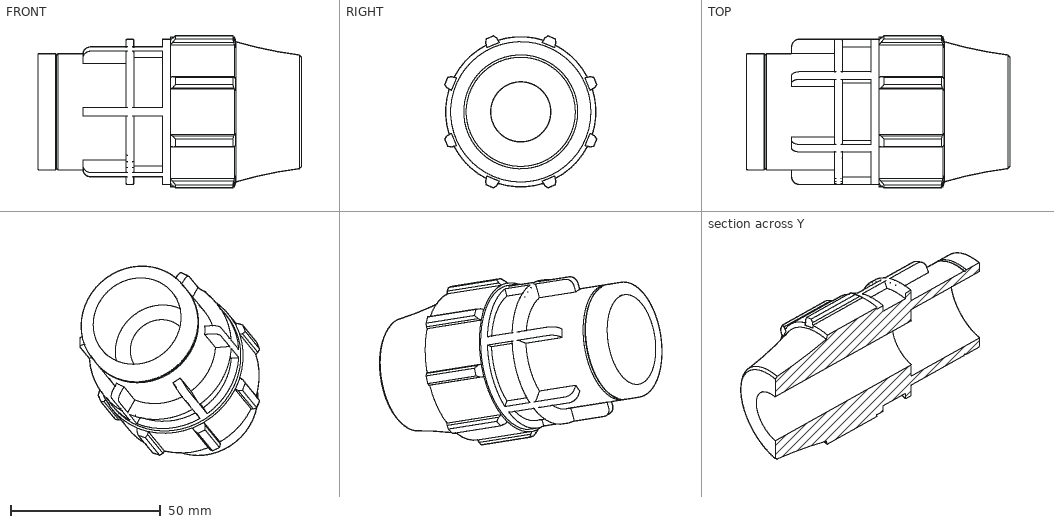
import cadquery as cq
import math


total_length = 88.0

barrel_radius = 38.9 / 2
mouth_fillet = 0.5
groove_start = 5.8
groove_width = 1.0
groove_depth = 0.4

ring_start = 29.4
ring_end = 32.0
ring_radius = 48.6 / 2
ring_fillet = 0.5
collar_radius = 21.7
flange_start = 41.5

nut_start = 44.2
nut_end = 66.1
nut_radius = 25.1
nose_start_radius = 23.4
nose_middle_radius = 20.8
nose_end_radius = 19.0
nose_chamfer = 0.8
shoulder_slope = 0.3

bore_radius = 20.0 / 2
socket_radius = 30.3 / 2
socket_depth = ring_start

body_rib_count = 6
body_rib_start = 15.05
body_rib_width = 2.9
body_rib_round = 2.7
pocket_overshoot = 0.9

grip_rib_count = 8
grip_rib_top_radius = 26.9
grip_rib_top_width = 2.6
grip_rib_bevel_radius = 25.9
grip_rib_bevel_width = 4.05
grip_rib_root_radius = 24.1
grip_rib_root_width = 4.5
grip_rib_slope_length = 1.8


def repeat_around_x(shape, count, first_angle):
    """Fuse evenly spaced copies of a shape that points along +Y."""
    copies = cq.Workplane("XY")
    for index in range(count):
        angle = first_angle + index * 360 / count
        copies = copies.add(shape.rotate((0, 0, 0), (1, 0, 0), angle))
    return copies.combine()


def make_body():
    """Turned outer shape, still solid between the body ribs."""
    groove_end = groove_start + groove_width
    shoulder_start = nut_end - shoulder_slope * (nut_radius - nose_start_radius)
    nose_end = total_length - nose_chamfer
    nose_middle = (nut_end + nose_end) / 2
    body = (
        cq.Workplane("XY")
        .moveTo(0, 0)
        .lineTo(0, barrel_radius)
        .lineTo(groove_start, barrel_radius)
        .lineTo(groove_start + groove_width / 2, barrel_radius - groove_depth)
        .lineTo(groove_end, barrel_radius)
        .lineTo(body_rib_start, barrel_radius)
        .lineTo(body_rib_start, ring_radius - body_rib_round)
        .radiusArc((body_rib_start + body_rib_round, ring_radius), body_rib_round)
        .lineTo(nut_start, ring_radius)
        .lineTo(nut_start, nut_radius)
        .lineTo(shoulder_start, nut_radius)
        .lineTo(nut_end, nose_start_radius)
        .threePointArc((nose_middle, nose_middle_radius), (nose_end, nose_end_radius))
        .lineTo(total_length, nose_end_radius - nose_chamfer)
        .lineTo(total_length, 0)
        .close()
        .revolve(360, (0, 0, 0), (1, 0, 0))
    )
    return body.faces("<X").edges().fillet(mouth_fillet)


def make_pockets(start, end, floor_radius):
    """Pockets between the body ribs, from start to end along X."""
    pockets = (
        cq.Workplane("YZ", origin=(start, 0, 0))
        .circle(ring_radius + pocket_overshoot)
        .circle(floor_radius)
        .extrude(end - start)
    )
    rib = (
        cq.Workplane("XY", origin=(start, floor_radius / 2, 0))
        .box(end - start, ring_radius, body_rib_width, centered=(False, False, True))
    )
    return pockets.cut(repeat_around_x(rib, body_rib_count, 0))


def make_grip_ribs():
    """Ribs with bevelled tops, sloped at the front and set back to the nut shoulder at the rear."""
    section = (
        cq.Workplane("YZ", origin=(nut_start, 0, 0))
        .moveTo(grip_rib_root_radius, -grip_rib_root_width / 2)
        .lineTo(grip_rib_bevel_radius, -grip_rib_bevel_width / 2)
        .lineTo(grip_rib_top_radius, -grip_rib_top_width / 2)
        .lineTo(grip_rib_top_radius, grip_rib_top_width / 2)
        .lineTo(grip_rib_bevel_radius, grip_rib_bevel_width / 2)
        .lineTo(grip_rib_root_radius, grip_rib_root_width / 2)
        .close()
        .extrude(nut_end - nut_start)
    )
    top_end = nut_end - shoulder_slope * (grip_rib_top_radius - nose_start_radius)
    root_end = nut_end - shoulder_slope * (grip_rib_root_radius - nose_start_radius)
    side_outline = (
        cq.Workplane("XY")
        .moveTo(nut_start, grip_rib_root_radius)
        .lineTo(nut_start, nut_radius)
        .lineTo(nut_start + grip_rib_slope_length, grip_rib_top_radius)
        .lineTo(top_end, grip_rib_top_radius)
        .lineTo(root_end, grip_rib_root_radius)
        .close()
        .extrude(grip_rib_root_width, both=True)
    )
    return repeat_around_x(section.intersect(side_outline), grip_rib_count, 180 / grip_rib_count)


def make_bores():
    through_bore = cq.Workplane("YZ").circle(bore_radius).extrude(total_length)
    socket = cq.Workplane("YZ").circle(socket_radius).extrude(socket_depth)
    return through_bore.union(socket)


def round_ring_edges(body):
    """Round the arcs of the ring that are left open between the ribs."""
    for edge_position in (ring_start, ring_end):
        arcs = body.edges("%CIRCLE").filter(
            lambda edge: math.isclose(edge.Center().x, edge_position)
            and math.isclose(edge.radius(), ring_radius)
        )
        body = arcs.fillet(ring_fillet)
    return body


front_pockets = make_pockets(body_rib_start, ring_start, barrel_radius)
rear_pockets = make_pockets(ring_end, flange_start, collar_radius)
ribbed_body = round_ring_edges(make_body().cut(front_pockets).cut(rear_pockets))
result = ribbed_body.union(make_grip_ribs()).cut(make_bores())